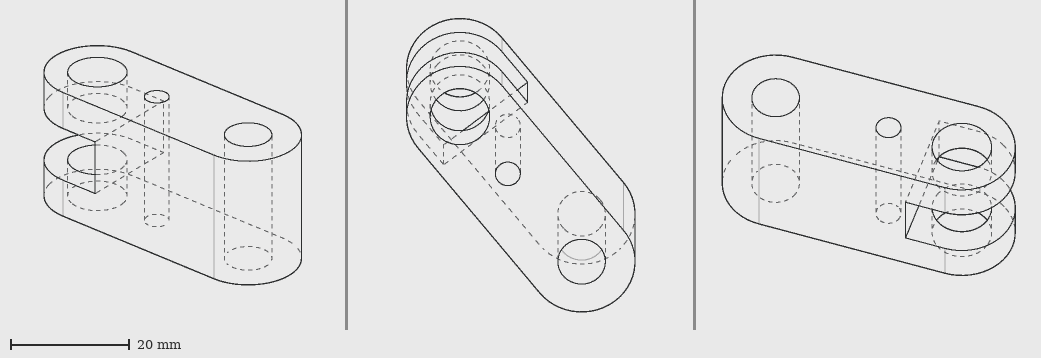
import cadquery as cq

width = 18.0
height = 24.0
pivot_spacing = 33.0
fork_hole_diameter = 10.0
rear_hole_diameter = 8.0
small_hole_diameter = 4.2
small_hole_offset = 13.0
slot_height = 10.0
slot_depth = 16.0

length = pivot_spacing + width
fork_x = -pivot_spacing / 2
rear_x = pivot_spacing / 2
small_hole_x = fork_x + small_hole_offset
slot_center_x = -length / 2 + slot_depth / 2


def link_body():
    """Solid link with full-round ends."""
    return (
        cq.Workplane("XY")
        .slot2D(length, width)
        .extrude(height / 2, both=True)
    )


def through_hole(x, diameter):
    """Cutter for a vertical hole on the centreline, through the full height."""
    return (
        cq.Workplane("XY")
        .center(x, 0)
        .circle(diameter / 2)
        .extrude(height / 2, both=True)
    )


def fork_slot():
    """Cutter for the slot that splits one end into two equal arms."""
    return (
        cq.Workplane("XY")
        .box(slot_depth, width, slot_height)
        .translate((slot_center_x, 0, 0))
    )


result = link_body().cut(fork_slot())

for hole_x, hole_diameter in (
    (fork_x, fork_hole_diameter),
    (small_hole_x, small_hole_diameter),
    (rear_x, rear_hole_diameter),
):
    result = result.cut(through_hole(hole_x, hole_diameter))